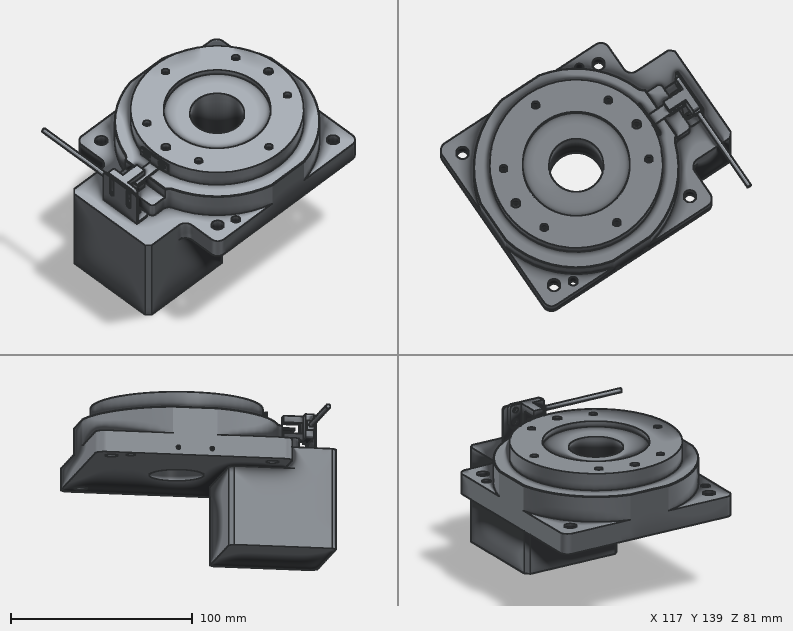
import cadquery as cq
import math


PLATE_HALF = 55.0
PLATE_THICKNESS = 12.0
PLATE_CORNER_RADIUS = 5.0
MOTOR_WIDTH = 60.0
MOTOR_LENGTH = 44.0
MOTOR_FRONT_Y = -84.0
MOTOR_CORNER_CHAMFER = 2.5

SELECT_MARGIN = 1.4
TALLER_THAN_PART = 139

HOUSING_RADIUS = 56.5
HOUSING_HEIGHT = 15.0
HOUSING_CHAMFER = 0.4
NECK_HALF_WIDTH = 15.3
NECK_FRONT_Y = -66.0
NECK_HEIGHT = 8.3
NECK_WALL_Y = -56.2
NECK_ROOT_RADIUS = 5.0
NECK_CORNER_RADIUS = 2.5

TABLE_RADIUS = 47.5
TABLE_HEIGHT = 10.0
TABLE_TOP = HOUSING_HEIGHT + TABLE_HEIGHT
RECESS_DIAMETER = 59.0
RECESS_DEPTH = 3.3
BORE_DIAMETER = 30.0

DRILL_POINT_ANGLE = 118
BOLT_CIRCLE_RADIUS = 40.0
TABLE_THREAD_COUNT = 6
TABLE_THREAD_DIAMETER = 4.3
TABLE_DOWEL_DIAMETER = 5.0
TABLE_HOLE_DEPTH = 8.0
MOUNT_HOLE_OFFSET = 45.0
MOUNT_HOLE_DIAMETER = 7.0
PLATE_DOWEL_X = 49.0
PLATE_DOWEL_Y = 35.0
PLATE_DOWEL_DIAMETER = 5.0
SIDE_HOLE_OFFSET = 9.5
SIDE_HOLE_HEIGHT = 4.0
SIDE_HOLE_DIAMETER = 2.1
SIDE_HOLE_DEPTH = 6.0
BRACKET_THREAD_DIAMETER = 2.5
BRACKET_THREAD_DEPTH = 6.0
BRACKET_THREAD_X = 7.0
BRACKET_THREAD_Y = -69.4

SHEET = 1.0
BRACKET_WIDTH = 26.1
BRACKET_FRONT_Y = -75.8
BRACKET_INNER_Y = BRACKET_FRONT_Y + SHEET
BRACKET_BACK_Y = -66.5
BRACKET_HEIGHT = 22.2
BRACKET_CORNER_RADIUS = 2.0
BRACKET_SLOT_WIDTH = 3.2
FACE_SLOT_X = 6.5
FACE_SLOT_BOTTOM = 8.3
FACE_SLOT_TOP = 21.8
FOOT_SLOT_BACK_Y = -67.4
FOOT_SLOT_FRONT_Y = -73.7
FOOT_NOTCH_RADIUS = 8.5
FOOT_NOTCH_Y = -60.6

SENSOR_MID_Z = 16.5
SENSOR_HEIGHT = 13.3
FORK_LEFT_X = -3.2
FORK_RIGHT_X = 2.8
FORK_TIP_Y = -59.5
FORK_GAP = 6.0
FORK_GAP_FLOOR_Y = -68.8
FORK_GAP_FLOOR_CHAMFER = 0.8
LEFT_EAR_X = -10.7
LEFT_EAR_BACK_Y = -70.3
LEFT_EAR_RADIUS = 1.1
RIGHT_EAR_X = 10.1
RIGHT_EAR_BACK_Y = -72.4
RIGHT_EAR_RADIUS = 2.2
EAR_HOLE_PITCH = 7.0
EAR_HOLE_DIAMETER = 3.2
CABLE_GLAND_X = -12.1
CABLE_GLAND_BACK_Y = -70.8
CABLE_GLAND_HEIGHT = 5.1
CABLE_END_X = -62.0
CABLE_Y = -73.0
CABLE_Z = 16.8
CABLE_RADIUS = 1.3

DOG_TURN = 1.5
DOG_X = -2.0
DOG_WIDTH = 20.0
DOG_TOP = 23.2
DOG_PLATE_BOTTOM = 17.7
DOG_BOTTOM = 15.3
TONGUE_WIDTH = 6.5
TONGUE_TIP_Y = -65.5
DOG_SLOT_OFFSET = 5.7
DOG_SLOT_LENGTH = 5.4
DOG_SLOT_WIDTH = 2.5
DOG_SLOT_Z = 20.7


def block(x_range, y_range, z_range):
    """Box given by its lower and upper limits along each axis."""
    limits = (x_range, y_range, z_range)
    sizes = [upper - lower for lower, upper in limits]
    corner = [lower for lower, upper in limits]
    return cq.Workplane("XY").box(*sizes, centered=False).translate(tuple(corner))


def cylinder(diameter, depth, start, direction):
    return cq.Workplane(cq.Solid.makeCylinder(diameter / 2, depth, cq.Vector(*start), cq.Vector(*direction)))


def drilled_hole(diameter, depth, start, direction=(0, 0, -1)):
    """Blind hole cutter with a conical drill point."""
    radius = diameter / 2
    point_depth = radius / math.tan(math.radians(DRILL_POINT_ANGLE / 2))
    outline = [(0, 0), (radius, 0), (radius, depth), (0, depth + point_depth)]
    cutter = cq.Workplane("XZ").polyline(outline).close().revolve(360, (0, 0, 0), (0, 1, 0)).val()
    plane = cq.Plane(origin=start, normal=direction)
    return cq.Workplane(cutter.moved(cq.Location(plane)))


def upright_edges_near(body, half_width, y):
    """Vertical edges of the body at x = -half_width and x = half_width on the line y."""
    low = (-half_width - SELECT_MARGIN, y - SELECT_MARGIN, -TALLER_THAN_PART)
    high = (half_width + SELECT_MARGIN, y + SELECT_MARGIN, TALLER_THAN_PART)
    return body.edges("|Z").edges(cq.selectors.BoxSelector(low, high))


def base_and_motor():
    plate = block((-PLATE_HALF, PLATE_HALF), (-PLATE_HALF, PLATE_HALF), (-PLATE_THICKNESS, 0))
    plate = plate.edges("|Z").fillet(PLATE_CORNER_RADIUS)
    motor_half = MOTOR_WIDTH / 2
    motor_y_range = (MOTOR_FRONT_Y, MOTOR_FRONT_Y + MOTOR_WIDTH)
    motor = block((-motor_half, motor_half), motor_y_range, (-PLATE_THICKNESS - MOTOR_LENGTH, 0))
    motor = motor.edges("|Z").chamfer(MOTOR_CORNER_CHAMFER)
    body = plate.union(motor)
    inner_corners = upright_edges_near(body, motor_half, -PLATE_HALF)
    return inner_corners.fillet(PLATE_CORNER_RADIUS)


def housing():
    disc = cq.Workplane("XY").circle(HOUSING_RADIUS).extrude(HOUSING_HEIGHT)
    neck = block((-NECK_HALF_WIDTH, NECK_HALF_WIDTH), (NECK_FRONT_Y, 0), (0, HOUSING_HEIGHT))
    body = disc.union(neck)
    body = body.edges("|Z and <Y").fillet(NECK_CORNER_RADIUS)
    root_y = -math.sqrt(HOUSING_RADIUS**2 - NECK_HALF_WIDTH**2)
    body = upright_edges_near(body, NECK_HALF_WIDTH, root_y).fillet(NECK_ROOT_RADIUS)
    body = body.intersect(block((-PLATE_HALF, PLATE_HALF), (NECK_FRONT_Y, PLATE_HALF), (0, HOUSING_HEIGHT)))
    body = body.cut(
        block((-PLATE_HALF, PLATE_HALF), (NECK_FRONT_Y, NECK_WALL_Y), (NECK_HEIGHT, HOUSING_HEIGHT))
    )
    return body.faces(">Z").edges().chamfer(HOUSING_CHAMFER)


def table_holes():
    holes = []
    for step in range(TABLE_THREAD_COUNT):
        angle = 2 * math.pi * step / TABLE_THREAD_COUNT
        center = (BOLT_CIRCLE_RADIUS * math.cos(angle), BOLT_CIRCLE_RADIUS * math.sin(angle), TABLE_TOP)
        holes.append(drilled_hole(TABLE_THREAD_DIAMETER, TABLE_HOLE_DEPTH, center))
    for y in (-BOLT_CIRCLE_RADIUS, BOLT_CIRCLE_RADIUS):
        holes.append(drilled_hole(TABLE_DOWEL_DIAMETER, TABLE_HOLE_DEPTH, (0, y, TABLE_TOP)))
    return holes


def plate_holes():
    holes = []
    for x in (-MOUNT_HOLE_OFFSET, MOUNT_HOLE_OFFSET):
        for y in (-MOUNT_HOLE_OFFSET, MOUNT_HOLE_OFFSET):
            holes.append(cylinder(MOUNT_HOLE_DIAMETER, PLATE_THICKNESS, (x, y, 0), (0, 0, -1)))
    for side in (-1, 1):
        dowel = (side * PLATE_DOWEL_X, -side * PLATE_DOWEL_Y, 0)
        holes.append(cylinder(PLATE_DOWEL_DIAMETER, PLATE_THICKNESS, dowel, (0, 0, -1)))
        side_hole = (-PLATE_HALF, side * SIDE_HOLE_OFFSET, SIDE_HOLE_HEIGHT - PLATE_THICKNESS)
        holes.append(drilled_hole(SIDE_HOLE_DIAMETER, SIDE_HOLE_DEPTH, side_hole, (1, 0, 0)))
        thread = (side * BRACKET_THREAD_X, BRACKET_THREAD_Y, 0)
        holes.append(drilled_hole(BRACKET_THREAD_DIAMETER, BRACKET_THREAD_DEPTH, thread))
    return holes


def make_actuator():
    """Base plate, motor, housing and rotary table as one solid."""
    table = cq.Workplane("XY").circle(TABLE_RADIUS).extrude(TABLE_TOP)
    body = base_and_motor().union(housing()).union(table)
    body = body.cut(cylinder(RECESS_DIAMETER, RECESS_DEPTH, (0, 0, TABLE_TOP), (0, 0, -1)))
    body = body.cut(cylinder(BORE_DIAMETER, TABLE_TOP + PLATE_THICKNESS, (0, 0, TABLE_TOP), (0, 0, -1)))
    for hole in table_holes() + plate_holes():
        body = body.cut(hole)
    return body


def make_bracket():
    """L-shaped sheet bracket standing on the base plate."""
    half = BRACKET_WIDTH / 2
    face = block((-half, half), (BRACKET_FRONT_Y, BRACKET_INNER_Y), (0, BRACKET_HEIGHT))
    face = face.edges("|Y and >Z").fillet(BRACKET_CORNER_RADIUS)
    foot = block((-half, half), (BRACKET_FRONT_Y, BRACKET_BACK_Y), (0, SHEET))
    foot = foot.edges("|Z and >Y").fillet(BRACKET_CORNER_RADIUS)
    foot = foot.cut(cylinder(2 * FOOT_NOTCH_RADIUS, SHEET, (0, FOOT_NOTCH_Y, 0), (0, 0, 1)))
    face_slot_z = (FACE_SLOT_BOTTOM + FACE_SLOT_TOP) / 2
    face_slots = (
        cq.Workplane("XZ", origin=(0, BRACKET_INNER_Y, 0))
        .pushPoints([(x, face_slot_z) for x in (-FACE_SLOT_X, FACE_SLOT_X)])
        .slot2D(FACE_SLOT_TOP - FACE_SLOT_BOTTOM, BRACKET_SLOT_WIDTH, 90)
        .extrude(SHEET)
    )
    foot_slot_y = (FOOT_SLOT_BACK_Y + FOOT_SLOT_FRONT_Y) / 2
    foot_slots = (
        cq.Workplane("XY")
        .pushPoints([(x, foot_slot_y) for x in (-BRACKET_THREAD_X, BRACKET_THREAD_X)])
        .slot2D(FOOT_SLOT_BACK_Y - FOOT_SLOT_FRONT_Y, BRACKET_SLOT_WIDTH, 90)
        .extrude(SHEET)
    )
    return face.union(foot).cut(face_slots).cut(foot_slots)


def make_sensor():
    """Forked light-barrier sensor with its cable."""

    def centered_block(x_range, back_y, height):
        z_range = (SENSOR_MID_Z - height / 2, SENSOR_MID_Z + height / 2)
        return block(x_range, (BRACKET_INNER_Y, back_y), z_range)

    fork = centered_block((FORK_LEFT_X, FORK_RIGHT_X), FORK_TIP_Y, SENSOR_HEIGHT)
    gap_z_range = (SENSOR_MID_Z - FORK_GAP / 2, SENSOR_MID_Z + FORK_GAP / 2)
    fork = fork.cut(block((FORK_LEFT_X, FORK_RIGHT_X), (FORK_GAP_FLOOR_Y, FORK_TIP_Y), gap_z_range))
    floor_edge = cq.selectors.NearestToPointSelector((FORK_LEFT_X, FORK_GAP_FLOOR_Y, SENSOR_MID_Z))
    fork = fork.edges(floor_edge).chamfer(FORK_GAP_FLOOR_CHAMFER)

    left_ear = centered_block((LEFT_EAR_X, FORK_RIGHT_X), LEFT_EAR_BACK_Y, SENSOR_HEIGHT)
    left_ear = left_ear.edges("|Y and <X").fillet(LEFT_EAR_RADIUS)
    right_ear = centered_block((FORK_LEFT_X, RIGHT_EAR_X), RIGHT_EAR_BACK_Y, SENSOR_HEIGHT)
    right_ear = right_ear.edges("|Y and >X").fillet(RIGHT_EAR_RADIUS)
    gland = centered_block((CABLE_GLAND_X, FORK_LEFT_X), CABLE_GLAND_BACK_Y, CABLE_GLAND_HEIGHT)
    cable_length = CABLE_GLAND_X - CABLE_END_X
    cable = cylinder(2 * CABLE_RADIUS, cable_length, (CABLE_END_X, CABLE_Y, CABLE_Z), (1, 0, 0))

    sensor = fork.union(left_ear).union(right_ear).union(gland).union(cable)
    ear_thickness = RIGHT_EAR_BACK_Y - BRACKET_INNER_Y
    for side in (-1, 1):
        start = (FACE_SLOT_X, BRACKET_INNER_Y, SENSOR_MID_Z + side * EAR_HOLE_PITCH / 2)
        sensor = sensor.cut(cylinder(EAR_HOLE_DIAMETER, ear_thickness, start, (0, 1, 0)))
    return sensor


def make_dog():
    """Slotted plate on the table rim with a tongue that reaches into the sensor fork."""
    plate_y_range = (-TABLE_RADIUS - SHEET, -TABLE_RADIUS)
    plate_x_range = (DOG_X - DOG_WIDTH / 2, DOG_X + DOG_WIDTH / 2)
    tongue_x_range = (DOG_X - TONGUE_WIDTH / 2, DOG_X + TONGUE_WIDTH / 2)
    plate = block(plate_x_range, plate_y_range, (DOG_PLATE_BOTTOM, DOG_TOP))
    web = block(tongue_x_range, plate_y_range, (DOG_BOTTOM, DOG_PLATE_BOTTOM))
    tongue = block(tongue_x_range, (TONGUE_TIP_Y, -TABLE_RADIUS), (DOG_BOTTOM, DOG_BOTTOM + SHEET))
    slots = (
        cq.Workplane("XZ", origin=(DOG_X, -TABLE_RADIUS, DOG_SLOT_Z))
        .pushPoints([(-DOG_SLOT_OFFSET, 0), (DOG_SLOT_OFFSET, 0)])
        .slot2D(DOG_SLOT_LENGTH, DOG_SLOT_WIDTH)
        .extrude(SHEET)
    )
    dog = plate.union(web).union(tongue).cut(slots)
    return dog.rotate((0, 0, 0), (0, 0, 1), DOG_TURN)


actuator = make_actuator()
bracket = make_bracket()
sensor = make_sensor()
dog = make_dog()

result = cq.Compound.makeCompound([actuator.val(), bracket.val(), sensor.val(), dog.val()])